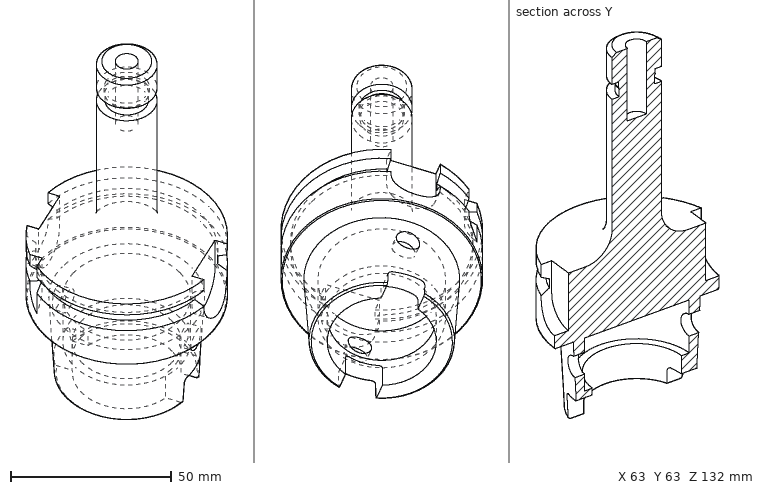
import cadquery as cq
import math


shank_length = 32.0
shank_top_diameter = 48.7
shank_top_radius = shank_top_diameter / 2
shank_bottom_diameter = 45.4
shank_bottom_radius = shank_bottom_diameter / 2
shank_chamfer = 0.7

flange_diameter = 63.0
flange_radius = flange_diameter / 2
flange_height = 26.0
flange_chamfer = 0.4
groove_bottom = 14.7
groove_top = 21.4
groove_floor_diameter = 57.0
groove_flank_height = 1.7

total_length = 132
tip_height = total_length - shank_length
stem_radius = 9.5
root_fillet = 10.0
nut_height = 11.2
nut_bottom = tip_height - nut_height
neck_length = 5.3
stem_top = nut_bottom - neck_length
neck_diameter = 13.6
neck_radius = neck_diameter / 2
collar_radius = 7.1
collar_height = 1.7
collar_taper = 0.7
nut_chamfer = 1.7
nut_chamfer_height = 1.3
bore_radius = 3.5
bore_depth = 26.4

slot_bottom = 5.0
slot_width = 16.4
slot_floor = 26.4
wide_slot_width = 18.0
wide_slot_floor = 26.1
notch_corner = 20.0

key_width = 12.3
key_corner_radius = 1.5
short_key_height = 6.1
tall_key_height = 10.2
cross_hole_diameter = 7.8
cross_hole_height = -9.1

mouth_radius = 17.0
mouth_depth = 12.8
cavity_radius = 19.9


def make_body():
    groove_radius = groove_floor_diameter / 2
    fillet_middle = root_fillet * (1 - math.sqrt(0.5))
    return (
        cq.Workplane("XZ")
        .moveTo(0, -shank_length)
        .lineTo(shank_bottom_radius - shank_chamfer, -shank_length)
        .lineTo(shank_bottom_radius, -shank_length + shank_chamfer)
        .lineTo(shank_top_radius, 0)
        .lineTo(flange_radius - flange_chamfer, 0)
        .lineTo(flange_radius, flange_chamfer)
        .lineTo(flange_radius, groove_bottom)
        .lineTo(groove_radius, groove_bottom + groove_flank_height)
        .lineTo(groove_radius, groove_top - groove_flank_height)
        .lineTo(flange_radius, groove_top)
        .lineTo(flange_radius, flange_height)
        .lineTo(stem_radius + root_fillet, flange_height)
        .threePointArc(
            (stem_radius + fillet_middle, flange_height + fillet_middle),
            (stem_radius, flange_height + root_fillet),
        )
        .lineTo(stem_radius, stem_top)
        .lineTo(neck_radius, stem_top)
        .lineTo(neck_radius, nut_bottom - collar_height - collar_taper)
        .lineTo(collar_radius, nut_bottom - collar_height)
        .lineTo(collar_radius, nut_bottom)
        .lineTo(stem_radius, nut_bottom)
        .lineTo(stem_radius, tip_height - nut_chamfer_height)
        .lineTo(stem_radius - nut_chamfer, tip_height)
        .lineTo(0, tip_height)
        .close()
        .revolve(360, (0, 0, 0), (0, 1, 0))
    )


def make_rim_slot(floor, width, center_y, side):
    """Round-bottomed slot open at the top, cut inwards along X to its flat floor."""
    radius = width / 2
    arc_height = slot_bottom + radius
    return (
        cq.Workplane("YZ", origin=(side * floor, 0, 0))
        .moveTo(center_y - radius, flange_height)
        .lineTo(center_y - radius, arc_height)
        .threePointArc((center_y, slot_bottom), (center_y + radius, arc_height))
        .lineTo(center_y + radius, flange_height)
        .close()
        .extrude(side * flange_radius)
    )


def make_key_slot(height, side):
    """Keyway from the shank end, running from the axis out to one side."""
    return (
        cq.Workplane("XY", origin=(side * flange_radius / 2, 0, -shank_length))
        .box(flange_radius, key_width, height, centered=(True, True, False))
        .edges("|X and >Z")
        .fillet(key_corner_radius)
    )


body = make_body()

bore = cq.Workplane("XY", origin=(0, 0, tip_height)).circle(bore_radius).extrude(-bore_depth)
body = body.cut(bore)

mouth = cq.Workplane("XY", origin=(0, 0, -shank_length)).circle(mouth_radius).extrude(mouth_depth)
cavity = cq.Workplane("XY").circle(cavity_radius).extrude(mouth_depth - shank_length)
body = body.cut(mouth).cut(cavity)

body = body.cut(make_rim_slot(slot_floor, slot_width, 0, -1))
body = body.cut(make_rim_slot(wide_slot_floor, wide_slot_width, 0, 1))
body = body.cut(make_rim_slot(notch_corner, slot_width, -notch_corner - slot_width / 2, -1))

body = body.cut(make_key_slot(short_key_height, -1))
body = body.cut(make_key_slot(tall_key_height, 1))

cross_hole = (
    cq.Workplane("YZ", origin=(0, 0, cross_hole_height))
    .circle(cross_hole_diameter / 2)
    .extrude(flange_radius, both=True)
)
result = body.cut(cross_hole)